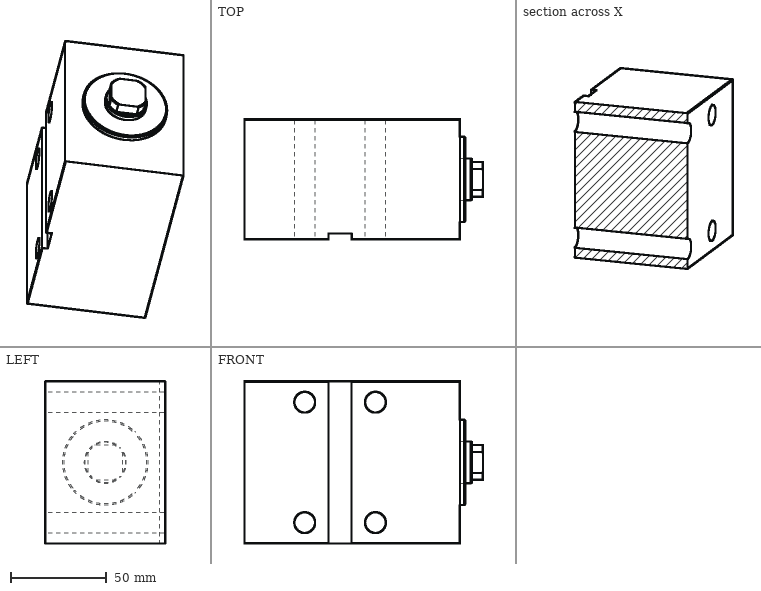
import cadquery as cq

TOTAL_LENGTH = 125.0
BLOCK_LENGTH = 112.8
BLOCK_WIDTH = 63.0
BLOCK_HEIGHT = 85.0
EDGE_CHAMFER = 0.4

SLOT_CENTRE_X = 50.1
SLOT_WIDTH = 12.0
SLOT_DEPTH = 3.1
BOLT_HOLE_DIAMETER = 10.8
BOLT_SPACING_X = 37.0
BOLT_SPACING_Z = 63.0

GLAND_DIAMETER = 44.8
GLAND_THICKNESS = 3.0
GLAND_CHAMFER = 0.8

ROD_DIAMETER = 22.0
SHOULDER_LENGTH = 6.4
SHOULDER_TAPER_LENGTH = 0.9
ROD_END_DIAMETER = 21.2
ACROSS_FLATS = 18.2
ROD_END_CHAMFER = 0.4
ROD_LENGTH = TOTAL_LENGTH - BLOCK_LENGTH


def end_face_plane():
    """Plane on the +X face of the block, centred on the rod axis."""
    return cq.Workplane("YZ", origin=(BLOCK_LENGTH, 0, 0))


def make_block():
    """Rectangular block with chamfered long edges, a key slot and four bolt holes."""
    body = cq.Workplane("XY").box(BLOCK_LENGTH, BLOCK_WIDTH, BLOCK_HEIGHT, centered=(False, True, True))
    body = body.edges("|X").chamfer(EDGE_CHAMFER)

    slot = cq.Workplane("XY").box(SLOT_WIDTH, 2 * SLOT_DEPTH, BLOCK_HEIGHT)
    body = body.cut(slot.translate((SLOT_CENTRE_X, -BLOCK_WIDTH / 2, 0)))

    bolt_holes = (
        cq.Workplane("XZ", origin=(SLOT_CENTRE_X, 0, 0))
        .rarray(BOLT_SPACING_X, BOLT_SPACING_Z, 2, 2)
        .circle(BOLT_HOLE_DIAMETER / 2)
        .extrude(BLOCK_WIDTH / 2, both=True)
    )
    return body.cut(bolt_holes)


def make_gland():
    """Flat ring around the rod, chamfered on its outer rim."""
    disc = end_face_plane().circle(GLAND_DIAMETER / 2).extrude(GLAND_THICKNESS)
    disc = disc.faces(">X").chamfer(GLAND_CHAMFER)
    bore = end_face_plane().circle(ROD_DIAMETER / 2).extrude(GLAND_THICKNESS)
    return disc.cut(bore)


def make_rod():
    """Stepped rod: a tapered shoulder, then a round end cut to four flats."""
    shoulder_radius = ROD_DIAMETER / 2
    end_radius = ROD_END_DIAMETER / 2
    shoulder = (
        cq.Workplane("XY", origin=(BLOCK_LENGTH, 0, 0))
        .moveTo(0, 0)
        .lineTo(0, shoulder_radius)
        .lineTo(SHOULDER_LENGTH - SHOULDER_TAPER_LENGTH, shoulder_radius)
        .lineTo(SHOULDER_LENGTH, end_radius)
        .lineTo(SHOULDER_LENGTH, 0)
        .close()
        .revolve(360, (0, 0, 0), (1, 0, 0))
    )
    round_end = end_face_plane().circle(end_radius).extrude(ROD_LENGTH)
    round_end = round_end.faces(">X").chamfer(ROD_END_CHAMFER)
    square_bar = end_face_plane().rect(ACROSS_FLATS, ACROSS_FLATS).extrude(ROD_LENGTH)
    return shoulder.union(round_end.intersect(square_bar))


block = make_block()
gland = make_gland()
rod = make_rod()

result = cq.Compound.makeCompound([block.val(), gland.val(), rod.val()])